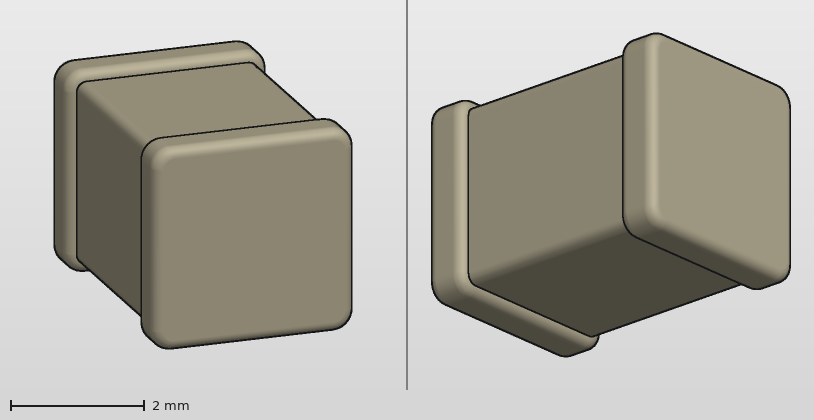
import cadquery as cq

overall_length = 4.5
cap_side = 3.2
cap_length = 0.68
cap_corner_radius = 0.32
edge_radius = 0.16

body_length = overall_length - 2 * cap_length
body_side = cap_side - 2 * edge_radius
body_corner_radius = cap_corner_radius - edge_radius


def rounded_square_bar(length, side, corner_radius):
    """Square bar along X, centred on the origin, with rounded long corners."""
    return cq.Workplane("XY").box(length, side, side).edges("|X").fillet(corner_radius)


def make_end_cap(center_x):
    """Terminal cap, rounded around its outer and inner faces."""
    cap = rounded_square_bar(cap_length, cap_side, cap_corner_radius)
    cap = cap.faces("<X or >X").edges().fillet(edge_radius)
    return cap.translate((center_x, 0, 0))


body = rounded_square_bar(body_length, body_side, body_corner_radius)

cap_offset = (overall_length - cap_length) / 2
end_caps = [make_end_cap(side * cap_offset) for side in (-1, 1)]

result = cq.Compound.makeCompound([body.val(), *[cap.val() for cap in end_caps]])